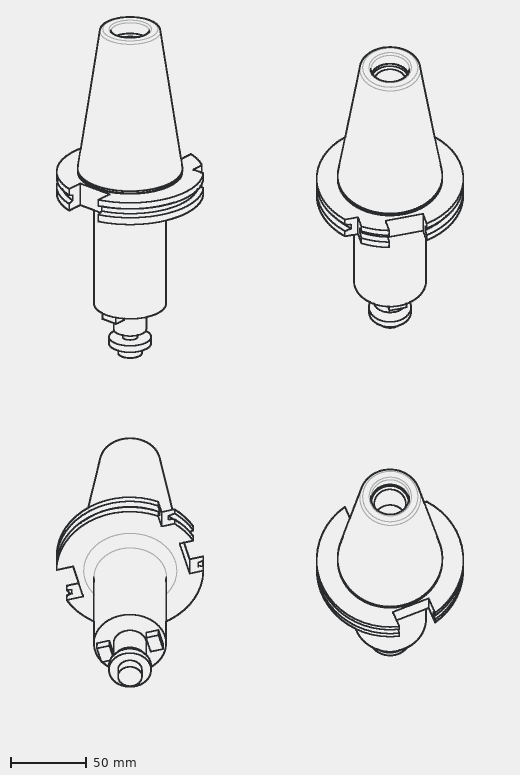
import cadquery as cq
import math

total_height = 238.0
taper_length = 102.1
collar_height = 2.5
gauge_z = total_height - taper_length
flange_top_z = gauge_z - collar_height
flange_thickness = 16.0
flange_bottom_z = flange_top_z - flange_thickness
nose_z = 36.5
pilot_bottom_z = 17.5
screw_disc_top_z = 12.0
screw_disc_bottom_z = 7.1

gauge_diameter = 69.7
taper_ratio = 7 / 24
tip_diameter = gauge_diameter - taper_length * taper_ratio
tip_fillet = 2.0
gauge_land = 0.7
foot_land = 0.5
collar_diameter = 69.5

flange_diameter = 97.5
groove_floor_diameter = 91.0
groove_top_z = flange_top_z - 4.5
groove_bottom_z = flange_top_z - 11.0
groove_flank_height = 1.5
slot_width = 25.7
front_slot_floor = 35.7
rear_slot_floor = 37.5
notch_offset = 29.8

body_diameter = 48.0
body_fillet = 7.0
pilot_diameter = 22.0
screw_neck_diameter = 10.0
screw_disc_diameter = 28.0
screw_end_diameter = 16.0

key_width = 12.0
key_height = 5.7
key_inner = 12.5
key_outer = 21.2

mouth_diameter = 28.0
bore_diameter = 25.5
bore_depth = 9.3
step_diameter = 25.0
step_depth = 11.5
lead_in_depth = 12.4
thread_diameter = 21.0
thread_depth = 38.0
drill_tip_angle = 118


def cylinder(diameter, bottom_z, top_z):
    return cq.Workplane("XY").workplane(offset=bottom_z).circle(diameter / 2).extrude(top_z - bottom_z)


def make_taper():
    cone = (
        cq.Workplane("XZ")
        .moveTo(0, gauge_z)
        .lineTo(gauge_diameter / 2, gauge_z)
        .lineTo(tip_diameter / 2, total_height)
        .lineTo(0, total_height)
        .close()
        .revolve(360, (0, 0, 0), (0, 1, 0))
    )
    return cone.faces(">Z").edges().fillet(tip_fillet)


def make_collar():
    collar = cylinder(collar_diameter, flange_top_z, gauge_z)
    upper_land = cylinder(gauge_diameter, gauge_z - gauge_land, gauge_z)
    lower_land = cylinder(gauge_diameter, flange_top_z, flange_top_z + foot_land)
    return collar.union(upper_land).union(lower_land)


def make_flange():
    rim = flange_diameter / 2
    floor = groove_floor_diameter / 2
    flange = (
        cq.Workplane("XZ")
        .moveTo(0, flange_bottom_z)
        .lineTo(rim, flange_bottom_z)
        .lineTo(rim, groove_bottom_z)
        .lineTo(floor, groove_bottom_z + groove_flank_height)
        .lineTo(floor, groove_top_z - groove_flank_height)
        .lineTo(rim, groove_top_z)
        .lineTo(rim, flange_top_z)
        .lineTo(0, flange_top_z)
        .close()
        .revolve(360, (0, 0, 0), (0, 1, 0))
    )
    for floor_y, side in ((front_slot_floor, -1), (rear_slot_floor, 1)):
        slot = (
            cq.Workplane("XY", origin=(0, side * (floor_y + rim) / 2, flange_bottom_z))
            .rect(slot_width, rim - floor_y)
            .extrude(flange_thickness)
        )
        flange = flange.cut(slot)
    notch = (
        cq.Workplane("XY", origin=(notch_offset, notch_offset, flange_bottom_z))
        .rect(rim, rim, centered=False)
        .extrude(flange_thickness)
    )
    return flange.cut(notch)


def make_body():
    radius = body_diameter / 2
    diagonal = body_fillet * (1 - math.sqrt(0.5))
    return (
        cq.Workplane("XZ")
        .moveTo(0, nose_z)
        .lineTo(radius, nose_z)
        .lineTo(radius, flange_bottom_z - body_fillet)
        .threePointArc(
            (radius + diagonal, flange_bottom_z - diagonal),
            (radius + body_fillet, flange_bottom_z),
        )
        .lineTo(0, flange_bottom_z)
        .close()
        .revolve(360, (0, 0, 0), (0, 1, 0))
    )


def make_key(side):
    return (
        cq.Workplane("XY", origin=(0, side * (key_inner + key_outer) / 2, nose_z - key_height))
        .rect(key_width, key_outer - key_inner)
        .extrude(key_height)
    )


def make_bore():
    mouth = mouth_diameter / 2
    bore = bore_diameter / 2
    mouth_radius = mouth - bore
    mouth_diagonal = mouth_radius * (1 - math.sqrt(0.5))
    step = step_diameter / 2
    thread = thread_diameter / 2
    tip_depth = thread / math.tan(math.radians(drill_tip_angle / 2))
    return (
        cq.Workplane("XZ")
        .moveTo(0, total_height)
        .lineTo(mouth, total_height)
        .threePointArc(
            (bore + mouth_diagonal, total_height - mouth_diagonal),
            (bore, total_height - mouth_radius),
        )
        .lineTo(bore, total_height - bore_depth)
        .lineTo(step, total_height - bore_depth)
        .lineTo(step, total_height - step_depth)
        .lineTo(thread, total_height - lead_in_depth)
        .lineTo(thread, total_height - thread_depth)
        .lineTo(0, total_height - thread_depth - tip_depth)
        .close()
        .revolve(360, (0, 0, 0), (0, 1, 0))
    )


result = (
    make_taper()
    .union(make_collar())
    .union(make_flange())
    .union(make_body())
    .union(cylinder(pilot_diameter, pilot_bottom_z, nose_z))
    .union(cylinder(screw_neck_diameter, screw_disc_top_z, pilot_bottom_z))
    .union(cylinder(screw_disc_diameter, screw_disc_bottom_z, screw_disc_top_z))
    .union(cylinder(screw_end_diameter, 0, screw_disc_bottom_z))
    .union(make_key(-1))
    .union(make_key(1))
    .cut(make_bore())
)